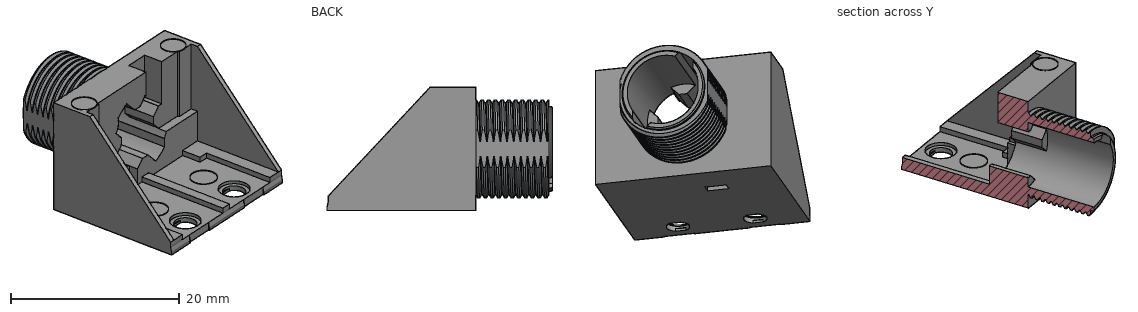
import cadquery as cq
import math


body_width = 21.62
body_height = 14.68
top_depth = 5.43
toe_x = 17.56
toe_top_z = -5.62
flare_tip_x = 17.7
flare_start_z = -6.3
flare_end_z = -7.0
side_flare_width = 3.65
middle_flare_width = 6.85

plate_thickness = 4.26
plate_thickness_at_sides = 4.5
thin_plate_half_width = 7.84
side_wall = 0.64
ledge_inner_y = 8.53
sill_z = -1.55
ledge_corner_x = 8.05
ledge_corner_inner_y = 7.27
rib_width = 1.27
floor_z = -6.3

barrel_length = 8.68
barrel_embed = 1.0
crest_radius = 5.84
root_radius = 5.475
thread_pitch = 0.797
groove_root_width = 0.1
groove_mouth_width = 0.62
thread_overrun = 0.05
thread_start_x = -9.317
flat_half_width = 5.4
lip_length = 0.46
lip_radius = 5.07
lip_chamfer = 0.17

bore_radius = 4.38
key_tip_radius = 3.12
key_tip_half_width = 0.52
channel_radius = 5.1
channel_side_y = 3.73
channel_side_z = 2.33

pocket_front_x = 1.72
pocket_outer_y = 4.72
pocket_inner_y = 1.63
window_outer_y = 4.15
window_inner_y = 1.54
window_step_y = 4.6
window_step_depth = 0.5

mark_depth = 0.1
top_mark_diameter = 3.05
top_mark_x = 2.95
top_mark_y = 8.68
floor_mark_diameter = 3.28
floor_mark_x = 10.52
screw_x = 15.1
screw_y = 4.76
screw_diameter = 2.77
screw_flat_width = 2.45
counterbore_diameter = 3.79
counterbore_depth = 0.4
round_hole_depth = 0.7

half_width = body_width / 2
top_z = body_height / 2
bottom_z = -top_z
cavity_half_width = half_width - side_wall
lip_front_x = -barrel_length - lip_length


def block(x_range, y_range, z_range):
    """Box spanning the given (low, high) ranges."""
    (x0, x1), (y0, y1), (z0, z1) = x_range, y_range, z_range
    return cq.Workplane("XY").box(x1 - x0, y1 - y0, z1 - z0, centered=False).translate((x0, y0, z0))


def x_cylinder(radius, start_x, end_x):
    """Cylinder along the barrel axis."""
    return cq.Workplane("YZ").workplane(offset=start_x).circle(radius).extrude(end_x - start_x)


def recess(diameter, x, y, z, depth):
    """Round cutter reaching down from height z."""
    return cq.Workplane("XY").workplane(offset=z - depth).center(x, y).circle(diameter / 2).extrude(depth)


def wedge_body():
    """Solid block with a sloped back and three flared feet along the toe."""
    outline = [(0, bottom_z), (toe_x, bottom_z), (toe_x, toe_top_z), (top_depth, top_z), (0, top_z)]
    wedge = cq.Workplane("XZ").polyline(outline).close().extrude(half_width, both=True)
    flare_outline = [
        (toe_x, bottom_z),
        (flare_tip_x, bottom_z),
        (flare_tip_x, flare_end_z),
        (toe_x, flare_start_z),
    ]
    side_centre = half_width - side_flare_width / 2
    for centre_y, width in (
        (-side_centre, side_flare_width),
        (0, middle_flare_width),
        (side_centre, side_flare_width),
    ):
        flare = cq.Workplane("XZ").polyline(flare_outline).close().extrude(width / 2, both=True)
        wedge = wedge.union(flare.translate((0, centre_y, 0)))
    return wedge


def cavity():
    """Open space between the side walls, with a sill behind the plate and ledges beside the floor."""
    full_width = (-cavity_half_width, cavity_half_width)
    space = block((top_depth, toe_x), full_width, (toe_top_z, top_z))
    space = space.union(block((plate_thickness_at_sides, top_depth), full_width, (sill_z, top_z)))
    middle = (-thin_plate_half_width, thin_plate_half_width)
    space = space.union(block((plate_thickness, top_depth), middle, (sill_z, top_z)))
    floor_depth = (floor_z, toe_top_z)
    for side in (-1, 1):
        wide = sorted((side * rib_width / 2, side * ledge_inner_y))
        narrow = sorted((side * rib_width / 2, side * ledge_corner_inner_y))
        space = space.union(block((ledge_corner_x, toe_x), wide, floor_depth))
        space = space.union(block((top_depth, ledge_corner_x), narrow, floor_depth))
    return space


def half_turn_groove():
    """Half a turn of the V-shaped thread groove, starting and ending outside the side flats."""
    outer_radius = crest_radius + thread_overrun
    helix = cq.Wire.makeHelix(thread_pitch, thread_pitch / 2, root_radius)
    profile = [
        (root_radius, -groove_root_width / 2),
        (outer_radius, -groove_mouth_width / 2),
        (outer_radius, groove_mouth_width / 2),
        (root_radius, groove_root_width / 2),
    ]
    groove = cq.Workplane("XZ").polyline(profile).close().sweep(cq.Workplane(obj=helix), isFrenet=True)
    return groove.rotate((0, 0, 0), (0, 1, 0), 90).rotate((0, 0, 0), (1, 0, 0), 90)


def barrel():
    """Threaded barrel with two side flats and a plain lip at its front end."""
    tube = x_cylinder(crest_radius, -barrel_length, barrel_embed)
    flat_range = (-flat_half_width, flat_half_width)
    height_range = (-crest_radius, crest_radius)
    tube = tube.intersect(block((-barrel_length, barrel_embed), flat_range, height_range))
    half_turn = half_turn_groove()
    half_turn_count = 2 * math.ceil(-thread_start_x / thread_pitch)
    for index in range(half_turn_count):
        groove = half_turn.rotate((0, 0, 0), (1, 0, 0), 180 * index)
        tube = tube.cut(groove.translate((thread_start_x + index * thread_pitch / 2, 0, 0)))
    lip = x_cylinder(lip_radius, lip_front_x, -barrel_length).faces("<X").chamfer(lip_chamfer)
    return tube.union(lip)


def bore():
    """Bore with four keys in the body and two opposite channels along its whole length."""
    opening = x_cylinder(bore_radius, lip_front_x, top_depth)
    key_root_half_width = key_tip_half_width + bore_radius - key_tip_radius
    key_outline = [
        (-key_tip_half_width, key_tip_radius),
        (key_tip_half_width, key_tip_radius),
        (key_root_half_width, bore_radius),
        (-key_root_half_width, bore_radius),
    ]
    key = cq.Workplane("YZ").polyline(key_outline).close().extrude(top_depth)
    for quarter in range(4):
        opening = opening.cut(key.rotate((0, 0, 0), (1, 0, 0), 90 * quarter))
    flank_offset = key_tip_radius - key_tip_half_width
    channel_outline = [
        (-key_tip_half_width, key_tip_radius),
        (-channel_side_y, channel_side_y + flank_offset),
        (-channel_side_y, channel_side_z),
    ]
    channel = cq.Workplane("YZ").workplane(offset=lip_front_x).polyline(channel_outline).close()
    channel = channel.extrude(top_depth - lip_front_x)
    channel = channel.intersect(x_cylinder(channel_radius, lip_front_x, top_depth))
    for turn in (0, 180):
        opening = opening.union(channel.rotate((0, 0, 0), (1, 0, 0), turn))
    return opening


def plate_pocket():
    """Pocket from the top of the plate down beside the bore."""
    return block((pocket_front_x, top_depth), (pocket_inner_y, pocket_outer_y), (-sill_z, top_z))


def sill_window():
    """Opening down through the sill, with a shallow step along its outer edge."""
    gap = (plate_thickness, top_depth)
    window = block(gap, (-window_outer_y, -window_inner_y), (bottom_z, sill_z))
    step = block(gap, (-window_step_y, -window_outer_y), (sill_z - window_step_depth, sill_z))
    return window.union(step)


def screw_hole(y):
    """Counterbored through hole, round at the top and with flats facing along X below."""
    hole = recess(screw_diameter, screw_x, y, floor_z, floor_z - bottom_z)
    half_flat = screw_flat_width / 2
    radius = screw_diameter / 2
    flat_range = (screw_x - half_flat, screw_x + half_flat)
    hole = hole.intersect(block(flat_range, (y - radius, y + radius), (bottom_z, floor_z)))
    hole = hole.union(recess(screw_diameter, screw_x, y, floor_z, round_hole_depth))
    return hole.union(recess(counterbore_diameter, screw_x, y, floor_z, counterbore_depth))


result = wedge_body().cut(cavity()).union(barrel())
result = result.cut(bore()).cut(plate_pocket()).cut(sill_window())
for side in (-1, 1):
    result = result.cut(recess(top_mark_diameter, top_mark_x, side * top_mark_y, top_z, mark_depth))
    result = result.cut(recess(floor_mark_diameter, floor_mark_x, side * screw_y, floor_z, mark_depth))
    result = result.cut(screw_hole(side * screw_y))